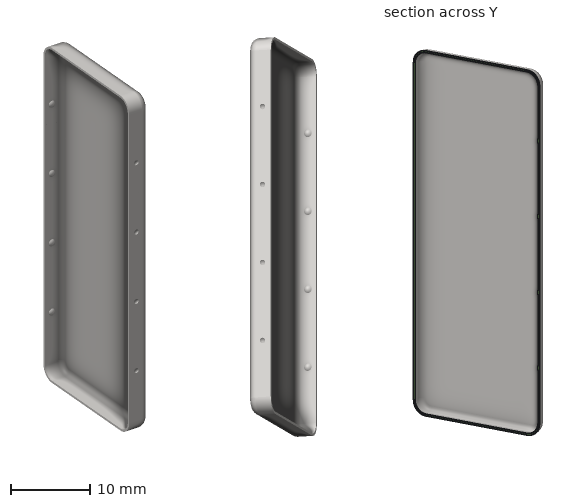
import cadquery as cq

width = 18.8
depth = 3.0
height = 48.3
wall = 0.3
corner_radius = 1.9
back_edge_radius = 1.0

detent_count = 4
detent_pitch = 10.0
detent_from_rim = 1.1
dimple_ball_radius = 0.4
dimple_depth = 0.2


def rounded_block(inset):
    """Tray envelope shrunk by inset on the sides and the back, still flush with the open face."""
    block = cq.Workplane("XY").box(width - 2 * inset, depth - inset, height - 2 * inset)
    block = block.translate((0, -inset / 2, 0))
    block = block.edges("|Y").fillet(corner_radius - inset)
    return block.faces(">Y").edges().fillet(back_edge_radius - inset)


def detent_balls(radius):
    """One ball per detent, centred outside the long walls so that only its cap reaches into them."""
    centre_x = width / 2 + dimple_ball_radius - dimple_depth
    centre_y = -depth / 2 + detent_from_rim
    first_z = -detent_pitch * (detent_count - 1) / 2
    balls = []
    for side in (-1, 1):
        for i in range(detent_count):
            centre = (side * centre_x, centre_y, first_z + i * detent_pitch)
            plane = cq.Plane(origin=centre, xDir=(0, 0, 1), normal=(0, 1, 0))
            balls.append(cq.Workplane(plane).sphere(radius).val())
    return cq.Workplane(cq.Compound.makeCompound(balls))


cavity = rounded_block(wall)
tray = rounded_block(0).cut(cavity)

bumps = detent_balls(dimple_ball_radius + wall).intersect(cavity)
dimples = detent_balls(dimple_ball_radius)
result = tray.union(bumps).cut(dimples)